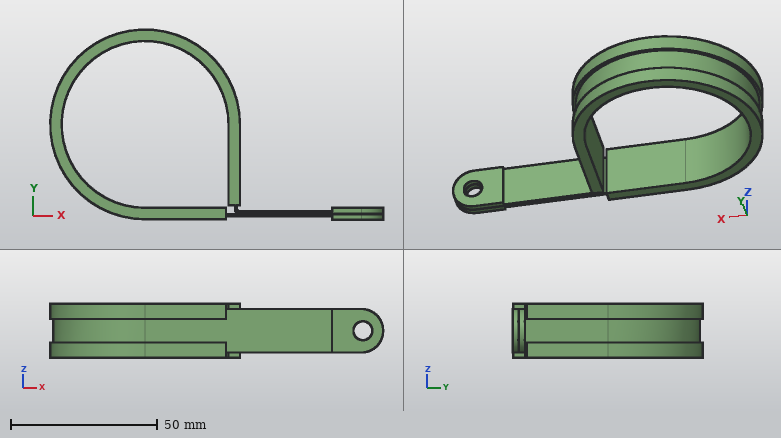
import cadquery as cq
import math

inner_radius = 28.5
cushion_thickness = 4.0
cushion_width = 18.5
outer_radius = inner_radius + cushion_thickness
end_clearance = 0.8
leg_end = inner_radius - end_clearance

groove_width = 8.0
groove_depth = 1.0
groove_floor_radius = outer_radius - groove_depth

band_width = 15.0
band_thickness = 0.8
band_inner_radius = groove_floor_radius - band_thickness
tail_gap = 0.2
bend_inner_radius = 0.7
band_embed = 2.0

tip_x = 81.5
tip_radius = band_width / 2
round_centre_x = tip_x - tip_radius
hole_tip_distance = 7.0
hole_x = tip_x - hole_tip_distance
hole_diameter = 6.4
pad_length = 17.5
pad_start_x = tip_x - pad_length
pad_overhang = 0.2
pad_outer_y = -(outer_radius + pad_overhang)
pad_inner_y = -inner_radius

lower_outer_y = -groove_floor_radius
lower_inner_y = -band_inner_radius
upper_outer_y = lower_inner_y + tail_gap
upper_inner_y = upper_outer_y + band_thickness


def extrude_centred(sketch, width):
    """Extrude a profile in the XY plane symmetrically about Z = 0."""
    return sketch.extrude(width / 2, both=True)


def loop_outline(radius):
    """Three-quarter arc whose two ends run on as straight legs, closed by a step at the leg ends."""
    diagonal = math.sqrt(0.5)
    return (
        cq.Workplane("XY")
        .moveTo(radius, 0)
        .lineTo(radius, -leg_end)
        .lineTo(leg_end, -leg_end)
        .lineTo(leg_end, -radius)
        .lineTo(0, -radius)
        .threePointArc((-radius * diagonal, radius * diagonal), (radius, 0))
        .close()
    )


def block(x_range, y_range, width):
    """Rectangular block between two X and two Y levels, centred on Z = 0."""
    x_start, x_end = x_range
    y_start, y_end = y_range
    return (
        cq.Workplane("XY")
        .box(x_end - x_start, y_end - y_start, width, centered=(False, False, True))
        .translate((x_start, y_start, 0))
    )


def cylinder_along_y(centre_x, radius):
    """Cylinder from Y = 0 out to the -Y face of the pads."""
    return cq.Workplane("XZ", origin=(centre_x, 0, 0)).circle(radius).extrude(-pad_outer_y)


def make_cushion():
    ring = extrude_centred(loop_outline(outer_radius), cushion_width)
    opening = extrude_centred(loop_outline(inner_radius), cushion_width)
    corner = block((leg_end, inner_radius), (-inner_radius, -leg_end), cushion_width)
    groove = extrude_centred(loop_outline(outer_radius), groove_width).cut(
        extrude_centred(loop_outline(groove_floor_radius), groove_width)
    )
    return ring.cut(opening).cut(corner).cut(groove)


def make_lower_tail():
    strip = block((leg_end - band_embed, tip_x), (lower_outer_y, lower_inner_y), band_width)
    pad = block((pad_start_x, tip_x), (pad_outer_y, lower_inner_y), band_width)
    return strip.union(pad)


def make_upper_tail():
    band_outer_x = groove_floor_radius
    band_inner_x = band_inner_radius
    embedded_y = band_embed - leg_end
    bent_profile = (
        cq.Workplane("XY")
        .moveTo(band_inner_x, embedded_y)
        .lineTo(band_inner_x, upper_outer_y)
        .lineTo(tip_x, upper_outer_y)
        .lineTo(tip_x, upper_inner_y)
        .lineTo(band_outer_x, upper_inner_y)
        .lineTo(band_outer_x, embedded_y)
        .close()
    )
    strip = extrude_centred(bent_profile, band_width)
    outside_corner = cq.selectors.NearestToPointSelector((band_inner_x, upper_outer_y, 0))
    strip = strip.edges(outside_corner).fillet(bend_inner_radius + band_thickness)
    inside_corner = cq.selectors.NearestToPointSelector((band_outer_x, upper_inner_y, 0))
    strip = strip.edges(inside_corner).fillet(bend_inner_radius)
    pad = block((pad_start_x, tip_x), (upper_outer_y, pad_inner_y), band_width)
    return strip.union(pad)


def make_tail():
    """Both tail layers, trimmed to a common round end and drilled."""
    layers = make_lower_tail().union(make_upper_tail())
    slab = block((0, round_centre_x), (pad_outer_y, 0), band_width)
    round_end = cylinder_along_y(round_centre_x, tip_radius)
    hole = cylinder_along_y(hole_x, hole_diameter / 2)
    return layers.intersect(slab.union(round_end)).cut(hole)


result = make_cushion().union(make_tail())